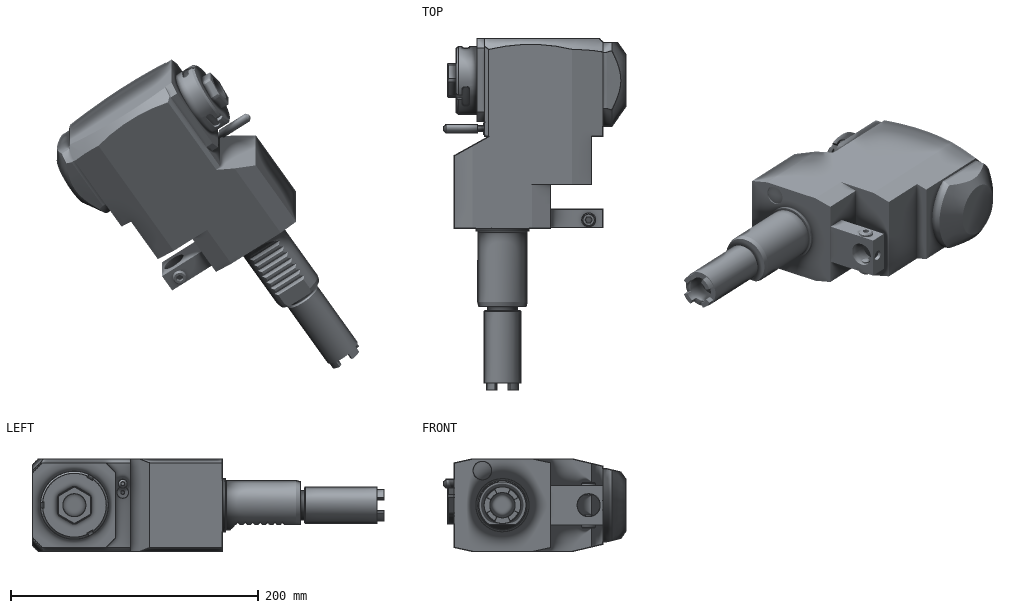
import math

import cadquery as cq


HALF_HEIGHT = 37.5
REAR_Y = 153.5
BASE_HALF_WIDTH = 39.0
BASE_CREST_HALF_WIDTH = 24.0
BASE_SLOPE_DROP = 3.3
BASE_REAR_Y = 58.7
SHOULDER_Y = 74.2
HEAD_LEFT_X = -14.5
HEAD_LEFT_CHAMFER = 3.4
HEAD_CREST_END_X = 56.5
HEAD_RIGHT_X = 81.2
HEAD_SLOPE = 0.24
HEAD_CORNER_CHAMFER = 3.0
STEP_X = 72.0
STEP_LOW_Y = 35.2
TURNED_RADIUS = 141.0
TURNED_CENTER_X = 22.8
TURNED_CENTER_Y = 7.7
TURNED_CHAMFER = 20.0
PLUG_RADIUS = 7.5
PLUG_X = -16.2
PLUG_Z = 28.0
PLUG_DEPTH = 1.0

FLANGE_RADIUS = 21.5
FLANGE_WIDTH = 2.4
SHANK_RADIUS = 20.0
SHANK_END_Y = -63.4
SHANK_ROOT_CHAMFER = 1.0
SHANK_END_CHAMFER = (1.0, 3.6)
NECK_RADIUS = 12.0
DRIVE_RADIUS = 14.8
DRIVE_START_Y = -66.5
DRIVE_END_Y = -130.75
DRIVE_CHAMFER = 0.8
CLAW_RADIUS = 14.2
CLAW_LENGTH = 5.5
CLAW_BORE_RADIUS = 10.2
CLAW_BORE_DEPTH = 20.0
CLAW_SLOT_HALF_ANGLE = 25.6
CLAW_COUNT = 4
FLAT_Z = -15.8
FLAT_START_Y = -10.2
RACK_PITCH = 6.0
RACK_TEETH = 7
RACK_DEPTH = 2.0
RACK_FIRST_Y = -12.6

SPINDLE_Y = 119.6
PLATE_LEFT_X = -20.6
PLATE_FRONT_Y = 86.2
PLATE_CORNER = 7.8
NUT_LEFT_X = -37.4
NUT_RADIUS = 27.5
NUT_CHAMFER = 1.7
NUT_SLOT_COUNT = 3
NUT_SLOT_WIDTH = 6.0
NUT_SLOT_LENGTH = 18.0
NUT_SLOT_DEPTH = 2.8
NUT_SLOT_X = -29.6
NUT_GROOVE_WIDTH = 4.4
HEX_LEFT_X = -44.5
HEX_ACROSS_FLATS = 27.4
HEX_CHAMFER = 0.8
HEX_CORNER_RADIUS = 15.1
HEX_BORE_RADIUS = 9.3
HEX_BORE_DEPTH = 5.0

PIN_Y = 80.5
PIN_Z = 17.4
PIN_LEFT_X = -47.55
PIN_RADIUS = 3.6
PIN_NECK_X = -20.0
PIN_NECK_RADIUS = 2.4
PIN_CHAMFER = 2.0
SCREW_Z = 10.3
SCREW_RADIUS = 4.7
SCREW_HEAD = 1.0
SCREW_SOCKET_RADIUS = 1.5

CAP_RIGHT_X = 99.78
CAP_CONE_X = 88.4
CAP_RADIUS = 37.3
CAP_FACE_RADIUS = 21.0
CAP_REAR_Y = 150.3
CAP_HALF_HEIGHT = 29.6
CAP_SLOPE_X = 84.2
CAP_SLOPE = 0.24

BRACKET_FRONT_Y = 0.6
BRACKET_REAR_Y = 15.4
BRACKET_HALF_HEIGHT = 15.9
BRACKET_HOLE_X = 69.7
BRACKET_HOLE_RADIUS = 9.3
CLAMP_Y = 6.8
CLAMP_HEAD_RADIUS = 5.6
CLAMP_HEAD_HEIGHT = 2.6
CLAMP_HEAD_CHAMFER = 1.0
CLAMP_TIP_RADIUS = 3.2
CLAMP_TIP_Z = 8.1
CLAMP_SOCKET_ACROSS = 5.0
CLAMP_SOCKET_DEPTH = 4.0
SIDE_HOLE_RADIUS = 4.0


def box(x_range, y_range, z_range):
    """Axis-aligned box from three (low, high) ranges."""
    sizes = [high - low for low, high in (x_range, y_range, z_range)]
    corner = (x_range[0], y_range[0], z_range[0])
    return cq.Workplane("XY").box(*sizes, centered=False).translate(corner)


def rod_x(radius, start_x, end_x, y, z):
    """Cylinder along X."""
    return cq.Workplane("YZ", origin=(start_x, y, z)).circle(radius).extrude(end_x - start_x)


def front_prism(half_outline, start_y, end_y):
    """Prism along Y whose (X, Z) outline is the given upper half mirrored about Z = 0."""
    mirrored = [(x, -z) for x, z in reversed(half_outline)]
    plane = cq.Workplane("XZ", origin=(0, start_y, 0))
    return plane.polyline(half_outline + mirrored).close().extrude(start_y - end_y)


def base_block():
    """Front part of the housing, with sloped side strips and a slanted rear-left wall."""
    edge_z = HALF_HEIGHT - BASE_SLOPE_DROP
    half_outline = [
        (-BASE_HALF_WIDTH, edge_z),
        (-BASE_CREST_HALF_WIDTH, HALF_HEIGHT),
        (BASE_CREST_HALF_WIDTH, HALF_HEIGHT),
        (BASE_HALF_WIDTH, edge_z),
    ]
    prism = front_prism(half_outline, 0, SHOULDER_Y)
    plan = [
        (-BASE_HALF_WIDTH, 0),
        (BASE_HALF_WIDTH, 0),
        (BASE_HALF_WIDTH, STEP_LOW_Y),
        (HEAD_LEFT_X + HEAD_LEFT_CHAMFER, SHOULDER_Y),
        (-BASE_HALF_WIDTH, BASE_REAR_Y),
    ]
    limits = cq.Workplane("XY").polyline(plan).close().extrude(HALF_HEIGHT, both=True)
    return prism.intersect(limits)


def head_block():
    """Rear part of the housing: profile along Y, stepped plan and turned rear edges."""
    right_z = HALF_HEIGHT - HEAD_SLOPE * (HEAD_RIGHT_X - HEAD_CREST_END_X)
    crest_start_x = HEAD_LEFT_X + HEAD_LEFT_CHAMFER
    half_outline = [
        (HEAD_LEFT_X, HALF_HEIGHT - HEAD_LEFT_CHAMFER),
        (crest_start_x, HALF_HEIGHT),
        (HEAD_CREST_END_X, HALF_HEIGHT),
        (HEAD_RIGHT_X, right_z),
    ]
    prism = front_prism(half_outline, STEP_LOW_Y, REAR_Y)
    plan = [
        (crest_start_x, STEP_LOW_Y),
        (STEP_X, STEP_LOW_Y),
        (STEP_X, SHOULDER_Y),
        (HEAD_RIGHT_X, SHOULDER_Y),
        (HEAD_RIGHT_X, REAR_Y - HEAD_CORNER_CHAMFER),
        (HEAD_RIGHT_X - HEAD_CORNER_CHAMFER, REAR_Y),
        (HEAD_LEFT_X, REAR_Y),
        (HEAD_LEFT_X, SHOULDER_Y),
        (crest_start_x, SHOULDER_Y),
    ]
    limits = cq.Workplane("XY").polyline(plan).close().extrude(HALF_HEIGHT, both=True)
    return prism.intersect(limits).intersect(turned_envelope())


def turned_envelope():
    """Round body about a Z axis whose 45 degree rims cut the rear edges of the head."""
    wide = TURNED_RADIUS + TURNED_CHAMFER
    rim_z = HALF_HEIGHT - TURNED_CHAMFER
    outline = [
        (0, -HALF_HEIGHT),
        (TURNED_RADIUS, -HALF_HEIGHT),
        (wide, -rim_z),
        (wide, rim_z),
        (TURNED_RADIUS, HALF_HEIGHT),
        (0, HALF_HEIGHT),
    ]
    body = cq.Workplane("XZ").polyline(outline).close().revolve(360, (0, 0), (0, 1))
    return body.translate((TURNED_CENTER_X, TURNED_CENTER_Y, 0))


def plug_recess():
    """Shallow round recess in the front face of the housing."""
    return cq.Workplane("XZ", origin=(PLUG_X, 0, PLUG_Z)).circle(PLUG_RADIUS).extrude(-PLUG_DEPTH)


def shank():
    """Turned flange, shank, neck and drive end, revolved about the Y axis."""
    end_drop, end_length = SHANK_END_CHAMFER
    root_y = -FLANGE_WIDTH
    claw_y = DRIVE_END_Y + CLAW_LENGTH
    outline = [
        (0, 0),
        (FLANGE_RADIUS, 0),
        (FLANGE_RADIUS, root_y),
        (SHANK_RADIUS - SHANK_ROOT_CHAMFER, root_y),
        (SHANK_RADIUS, root_y - SHANK_ROOT_CHAMFER),
        (SHANK_RADIUS, SHANK_END_Y + end_length),
        (SHANK_RADIUS - end_drop, SHANK_END_Y),
        (NECK_RADIUS, SHANK_END_Y),
        (NECK_RADIUS, DRIVE_START_Y),
        (DRIVE_RADIUS - DRIVE_CHAMFER, DRIVE_START_Y),
        (DRIVE_RADIUS, DRIVE_START_Y - DRIVE_CHAMFER),
        (DRIVE_RADIUS, claw_y),
        (CLAW_RADIUS, claw_y),
        (CLAW_RADIUS, DRIVE_END_Y),
        (0, DRIVE_END_Y),
    ]
    body = cq.Workplane("XY").polyline(outline).close().revolve(360, (0, 0), (0, 1))
    return body.cut(rack_flat()).cut(claw_openings())


def rack_flat():
    """Flat under the shank with a 45 degree run-out and V grooves across it."""
    run_out = SHANK_RADIUS + FLAT_Z
    flat = [
        (SHANK_END_Y, FLAT_Z),
        (FLAT_START_Y, FLAT_Z),
        (FLAT_START_Y + run_out, -SHANK_RADIUS),
        (SHANK_END_Y, -SHANK_RADIUS),
    ]
    plane = cq.Workplane("YZ")
    cutter = plane.polyline(flat).close().extrude(SHANK_RADIUS, both=True)
    for index in range(RACK_TEETH):
        y = RACK_FIRST_Y - index * RACK_PITCH
        groove = [(y - RACK_DEPTH, FLAT_Z), (y, FLAT_Z + RACK_DEPTH), (y + RACK_DEPTH, FLAT_Z)]
        cutter = cutter.union(plane.polyline(groove).close().extrude(SHANK_RADIUS, both=True))
    return cutter


def claw_openings():
    """Bore of the drive end and radial-sided slots between its claws."""
    plane = cq.Workplane("XZ", origin=(0, DRIVE_END_Y, 0))
    openings = plane.circle(CLAW_BORE_RADIUS).extrude(-CLAW_BORE_DEPTH)
    reach = FLANGE_RADIUS
    half_width = reach * math.tan(math.radians(CLAW_SLOT_HALF_ANGLE))
    wedge = plane.polyline([(0, 0), (half_width, reach), (-half_width, reach)]).close()
    wedge = wedge.extrude(-CLAW_LENGTH)
    for index in range(CLAW_COUNT):
        openings = openings.union(wedge.rotate((0, 0, 0), (0, 1, 0), 360 / CLAW_COUNT * index))
    return openings


def spindle_plate():
    """Square plate with clipped corners behind the spindle nut."""
    half_height = HALF_HEIGHT - HEAD_LEFT_CHAMFER
    plate = box((PLATE_LEFT_X, HEAD_LEFT_X), (PLATE_FRONT_Y, REAR_Y), (-half_height, half_height))
    return plate.edges("|X").chamfer(PLATE_CORNER)


def spindle_nut():
    """Round clamping nut with spanner slots, and the hexagon in front of it."""
    nut = rod_x(NUT_RADIUS, NUT_LEFT_X, PLATE_LEFT_X, SPINDLE_Y, 0)
    nut = nut.faces("<X").chamfer(NUT_CHAMFER)
    slot_floor = SPINDLE_Y + NUT_RADIUS - NUT_SLOT_DEPTH
    slot = (
        cq.Workplane("XZ", origin=(NUT_SLOT_X, slot_floor, 0))
        .slot2D(NUT_SLOT_LENGTH, NUT_SLOT_WIDTH, 90)
        .extrude(-NUT_RADIUS)
    )
    half_groove = NUT_GROOVE_WIDTH / 2
    groove = box(
        (NUT_LEFT_X, NUT_SLOT_X),
        (slot_floor, slot_floor + NUT_RADIUS),
        (-half_groove, half_groove),
    )
    cutter = slot.union(groove)
    for index in range(NUT_SLOT_COUNT):
        angle = 360 / NUT_SLOT_COUNT * index
        nut = nut.cut(cutter.rotate((0, SPINDLE_Y, 0), (1, SPINDLE_Y, 0), angle))
    return nut.union(spindle_hexagon())


def spindle_hexagon():
    """Hexagon with corners toward +Z and -Z, the corners turned round."""
    across_corners = HEX_ACROSS_FLATS / math.cos(math.pi / 6)
    length = NUT_LEFT_X - HEX_LEFT_X
    plane = cq.Workplane("YZ", origin=(HEX_LEFT_X, SPINDLE_Y, 0))
    hexagon = plane.transformed((0, 0, 90)).polygon(6, across_corners).extrude(length)
    rounding = plane.circle(HEX_CORNER_RADIUS).extrude(length)
    return hexagon.faces("<X").chamfer(HEX_CHAMFER).intersect(rounding)


def spindle_bore():
    """Blind bore in the front of the spindle."""
    return rod_x(HEX_BORE_RADIUS, HEX_LEFT_X, HEX_LEFT_X + HEX_BORE_DEPTH, SPINDLE_Y, 0)


def coolant_pin():
    """Pin on a thinner neck, and a low screw head just below it."""
    pin = rod_x(PIN_RADIUS, PIN_LEFT_X, PIN_NECK_X, PIN_Y, PIN_Z)
    pin = pin.faces("<X").chamfer(PIN_CHAMFER)
    neck = rod_x(PIN_NECK_RADIUS, PIN_NECK_X, HEAD_LEFT_X, PIN_Y, PIN_Z)
    head_x = HEAD_LEFT_X - SCREW_HEAD
    head = rod_x(SCREW_RADIUS, head_x, HEAD_LEFT_X, PIN_Y, SCREW_Z)
    socket = rod_x(SCREW_SOCKET_RADIUS, head_x, HEAD_LEFT_X, PIN_Y, SCREW_Z)
    return pin.union(neck).union(head.cut(socket))


def end_cap():
    """Conical cap on the right, flattened above, below and at the rear."""
    outline = [
        (HEAD_RIGHT_X, 0),
        (HEAD_RIGHT_X, CAP_RADIUS),
        (CAP_CONE_X, CAP_RADIUS),
        (CAP_RIGHT_X, CAP_FACE_RADIUS),
        (CAP_RIGHT_X, 0),
    ]
    cone = cq.Workplane("XY").polyline(outline).close().revolve(360, (0, 0), (1, 0))
    cone = cone.translate((0, SPINDLE_Y, 0))
    right_z = CAP_HALF_HEIGHT - CAP_SLOPE * (CAP_RIGHT_X - CAP_SLOPE_X)
    half_outline = [
        (HEAD_RIGHT_X, CAP_HALF_HEIGHT),
        (CAP_SLOPE_X, CAP_HALF_HEIGHT),
        (CAP_RIGHT_X, right_z),
    ]
    return cone.intersect(front_prism(half_outline, SPINDLE_Y - CAP_RADIUS, CAP_REAR_Y))


def clamp_screw():
    """Upper clamp screw of the bracket, with a blind hexagon socket in its head."""
    head_top = BRACKET_HALF_HEIGHT + CLAMP_HEAD_HEIGHT
    plane = cq.Workplane("XY", origin=(BRACKET_HOLE_X, CLAMP_Y, BRACKET_HALF_HEIGHT))
    head = plane.circle(CLAMP_HEAD_RADIUS).extrude(CLAMP_HEAD_HEIGHT)
    head = head.faces(">Z").chamfer(CLAMP_HEAD_CHAMFER)
    tip = plane.circle(CLAMP_TIP_RADIUS).extrude(CLAMP_TIP_Z - BRACKET_HALF_HEIGHT)
    socket = (
        cq.Workplane("XY", origin=(BRACKET_HOLE_X, CLAMP_Y, head_top))
        .polygon(6, CLAMP_SOCKET_ACROSS / math.cos(math.pi / 6))
        .extrude(-CLAMP_SOCKET_DEPTH)
    )
    return head.union(tip), socket


def bracket():
    """Arm beside the shank with a through hole, two clamp screws and a side hole."""
    arm = box(
        (BASE_HALF_WIDTH, HEAD_RIGHT_X),
        (BRACKET_FRONT_Y, BRACKET_REAR_Y),
        (-BRACKET_HALF_HEIGHT, BRACKET_HALF_HEIGHT),
    )
    hole = (
        cq.Workplane("XZ", origin=(BRACKET_HOLE_X, BRACKET_FRONT_Y, 0))
        .circle(BRACKET_HOLE_RADIUS)
        .extrude(BRACKET_FRONT_Y - BRACKET_REAR_Y)
    )
    side_hole = rod_x(SIDE_HOLE_RADIUS, BRACKET_HOLE_X, HEAD_RIGHT_X, CLAMP_Y, 0)
    arm = arm.cut(hole).cut(side_hole)
    screw, socket = clamp_screw()
    arm = arm.union(screw).union(screw.mirror("XY"))
    return arm.cut(socket).cut(socket.mirror("XY"))


housing = base_block().union(head_block()).cut(plug_recess())
spindle = spindle_plate().union(spindle_nut()).cut(spindle_bore())
result = housing
for piece in (shank(), spindle, coolant_pin(), end_cap(), bracket()):
    result = result.union(piece)